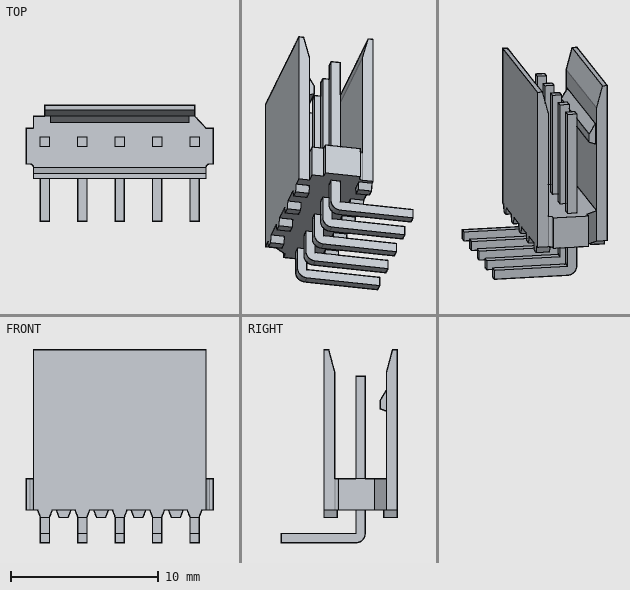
import cadquery as cq


PIN_COUNT = 5
PITCH = 2.54
PIN_SIZE = 0.64
PIN_TOP = 9.1
PIN_TAIL_END = -5.4
PIN_BOTTOM = -2.22

BASE_LENGTH = PIN_COUNT * PITCH
BASE_HEIGHT = 2.14
BODY_LENGTH = 11.72
TAB_BACK = 0.94
TAB_FILLET = 0.25

BODY_DEPTH = 5.0
WALL_THICKNESS = 0.75
WALL_TOP = 10.9
WALL_LIP = 0.34
WALL_BEVEL_HEIGHT = 1.53
BACK_WALL_LENGTH = 10.2

RIDGE_LENGTH = 9.4
RIDGE_DEPTH = 0.43
RIDGE_TOP = 8.16
RIDGE_NOSE_TOP = 7.45
RIDGE_NOSE_BOTTOM = 6.88
RIDGE_BOTTOM = 6.72

FOOT_HEIGHT = 0.5
FOOT_DEPTH = 0.93
FOOT_TOP_WIDTH = 1.0
FOOT_BOTTOM_WIDTH = 0.62

WALL_OUTER = BODY_DEPTH / 2
WALL_INNER = WALL_OUTER - WALL_THICKNESS


def row_positions(count):
    """X positions of a centred row of features at the pin pitch."""
    return [(i - (count - 1) / 2) * PITCH for i in range(count)]


def along_x(points, length):
    """Extrude a (y, z) outline symmetrically along X."""
    return cq.Workplane("YZ").polyline(points).close().extrude(length / 2, both=True)


def make_base():
    """Base plate with end tabs, one chamfered back corner and filleted front tab corners."""
    body_x = BODY_LENGTH / 2
    tab_x = BASE_LENGTH / 2
    fillet_x = body_x + TAB_FILLET
    tab_front = TAB_FILLET - WALL_INNER
    chamfer_x = BACK_WALL_LENGTH / 2
    return (
        cq.Workplane("XY")
        .moveTo(-body_x, WALL_INNER)
        .lineTo(chamfer_x, WALL_INNER)
        .lineTo(body_x, TAB_BACK)
        .lineTo(tab_x, TAB_BACK)
        .lineTo(tab_x, tab_front)
        .lineTo(fillet_x, tab_front)
        .radiusArc((body_x, -WALL_INNER), -TAB_FILLET)
        .lineTo(-body_x, -WALL_INNER)
        .radiusArc((-fillet_x, tab_front), -TAB_FILLET)
        .lineTo(-tab_x, tab_front)
        .lineTo(-tab_x, TAB_BACK)
        .lineTo(-body_x, TAB_BACK)
        .close()
        .extrude(BASE_HEIGHT)
    )


def make_wall(length, side):
    """Upright wall with an inner lead-in bevel; side is +1 for the back and -1 for the front."""
    outer = side * WALL_OUTER
    inner = side * WALL_INNER
    lip = side * (WALL_OUTER - WALL_LIP)
    outline = [
        (outer, 0),
        (outer, WALL_TOP),
        (lip, WALL_TOP),
        (inner, WALL_TOP - WALL_BEVEL_HEIGHT),
        (inner, 0),
    ]
    return along_x(outline, length)


def make_latch_ridge():
    """Ridge along the back wall with a long upper ramp and a short undercut."""
    nose = WALL_INNER - RIDGE_DEPTH
    outline = [
        (WALL_INNER, RIDGE_TOP),
        (nose, RIDGE_NOSE_TOP),
        (nose, RIDGE_NOSE_BOTTOM),
        (WALL_INNER, RIDGE_BOTTOM),
    ]
    return along_x(outline, RIDGE_LENGTH)


def make_foot(center_x, side):
    """Tapered foot flush with a wall's outer face; side is +1 for the back and -1 for the front."""
    half_top = FOOT_TOP_WIDTH / 2
    half_bottom = FOOT_BOTTOM_WIDTH / 2
    center_y = side * (WALL_OUTER - FOOT_DEPTH / 2)
    outline = [
        (-half_top, 0),
        (half_top, 0),
        (half_bottom, -FOOT_HEIGHT),
        (-half_bottom, -FOOT_HEIGHT),
    ]
    plane = cq.Workplane("XZ", origin=(center_x, center_y, 0))
    return plane.polyline(outline).close().extrude(FOOT_DEPTH / 2, both=True)


def make_pin(center_x):
    """Square pin bent through a right angle, with a sharp inner and a rounded outer bend."""
    half = PIN_SIZE / 2
    bend_z = PIN_BOTTOM + PIN_SIZE
    return (
        cq.Workplane("YZ", origin=(center_x, 0, 0))
        .moveTo(half, PIN_TOP)
        .lineTo(half, bend_z)
        .radiusArc((-half, PIN_BOTTOM), PIN_SIZE)
        .lineTo(PIN_TAIL_END, PIN_BOTTOM)
        .lineTo(PIN_TAIL_END, bend_z)
        .lineTo(-half, bend_z)
        .lineTo(-half, PIN_TOP)
        .close()
        .extrude(half, both=True)
    )


result = make_base()
result = result.union(make_wall(BACK_WALL_LENGTH, 1))
result = result.union(make_wall(BODY_LENGTH, -1))
result = result.union(make_latch_ridge())

for x in row_positions(PIN_COUNT):
    result = result.union(make_foot(x, -1))
    result = result.union(make_pin(x))
for x in row_positions(PIN_COUNT - 1):
    result = result.union(make_foot(x, 1))